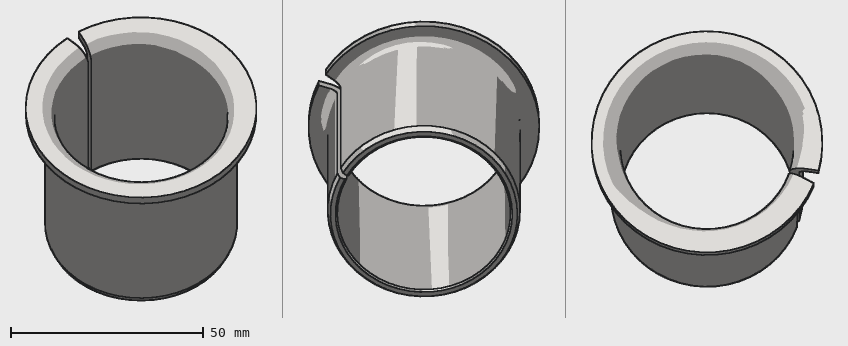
import cadquery as cq
import math

flange_radius = 30.0
height = 50.0
body_radius = 25.0
wall = 2.5
bore_radius = body_radius - wall

outer_bend_radius = 2.0
inner_bend_radius = outer_bend_radius + wall
bend_centre_radius = body_radius + outer_bend_radius
bend_centre_z = height - inner_bend_radius

chamfer_angle = math.radians(20)
chamfer_height = 2.0
chamfer_width = chamfer_height * math.tan(chamfer_angle)
bore_chamfer = 0.5

cutter_overrun = 0.6

slit_width_at_bore = 0.95
slit_width_at_rim = 3.65


def bend_point(bend_radius):
    """Middle of a quarter bend, as (radius, z)."""
    offset = bend_radius * math.sqrt(0.5)
    return bend_centre_radius - offset, bend_centre_z + offset


def flanged_sleeve():
    """Revolve the wall section about Z, with the seam turned to the slit on the -X side."""
    sleeve = (
        cq.Workplane("XZ")
        .moveTo(bore_radius, bore_chamfer)
        .lineTo(bore_radius + bore_chamfer, 0)
        .lineTo(body_radius - chamfer_width, 0)
        .lineTo(body_radius, chamfer_height)
        .lineTo(body_radius, bend_centre_z)
        .threePointArc(bend_point(outer_bend_radius), (bend_centre_radius, height - wall))
        .lineTo(flange_radius, height - wall)
        .lineTo(flange_radius, height)
        .lineTo(bend_centre_radius, height)
        .threePointArc(bend_point(inner_bend_radius), (bore_radius, bend_centre_z))
        .close()
        .revolve(360, (0, 0, 0), (0, 1, 0))
    )
    return sleeve.rotate((0, 0, 0), (0, 0, 1), 180)


def slit_cutter():
    """Wedge through the full height, extended past the rim and stopped inside the bore."""
    flare = (slit_width_at_rim - slit_width_at_bore) / (flange_radius - bore_radius)
    inner_reach = bore_radius - cutter_overrun
    outer_reach = flange_radius + cutter_overrun
    inner_half = (slit_width_at_bore - flare * cutter_overrun) / 2
    outer_half = (slit_width_at_rim + flare * cutter_overrun) / 2
    corners = [
        (-inner_reach, -inner_half),
        (-outer_reach, -outer_half),
        (-outer_reach, outer_half),
        (-inner_reach, inner_half),
    ]
    return cq.Workplane("XY").polyline(corners).close().extrude(height)


result = flanged_sleeve().cut(slit_cutter())